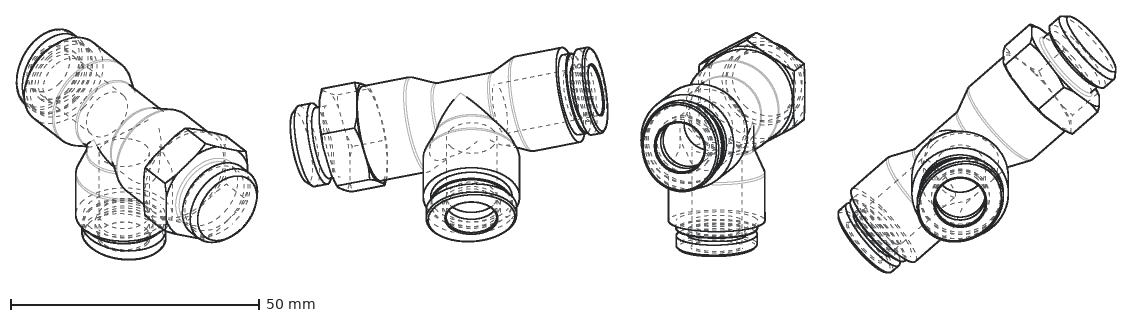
import cadquery as cq
import math

left_turn = -90
branch_turn = 180
right_turn = 90
tube_turns = (left_turn, branch_turn)

neck_end = 6.0
shoulder_start = 11.05
body_face = 21.0
collar_face = 22.8
flange_back = 23.95
flange_face = 26.4

housing_diameter = 19.5
neck_diameter = 15.0
shoulder_blend = 1.1
bore_diameter = 10.2
bore_floor = neck_end

collar_diameter = 16.5
collar_chamfer = 0.2

ring_neck_diameter = 11.7
flange_long_diameter = 18.4
flange_short_diameter = 16.15
flange_chamfer = 0.4
ring_mouth_chamfer = 0.25

hex_sides = 6
hex_across_flats = 20.0
hex_length = 7.9
hex_face_diameter = 20.85
hex_chamfer_length = 0.5
plug_length = 15.0
groove_diameter = 14.6
groove_blend = 0.5
thread_diameter = 16.65
thread_start = 10.4
thread_back_chamfer = 0.7
thread_end_chamfer = 1.2


def turn_into_place(arm_part, angle):
    """Turn a part from the +Z direction to its arm's direction."""
    return arm_part.rotate((0, 0, 0), (0, 1, 0), angle)


def cylinder(diameter, start, end):
    """A cylinder on the Z axis between two heights."""
    return cq.Workplane("XY").workplane(offset=start).circle(diameter / 2).extrude(end - start)


def make_arm():
    """One solid arm: slim neck, conical shoulder and wide socket, with blended shoulder edges."""
    profile = [
        (0, 0),
        (neck_diameter / 2, 0),
        (neck_diameter / 2, neck_end),
        (housing_diameter / 2, shoulder_start),
        (housing_diameter / 2, body_face),
        (0, body_face),
    ]
    arm = cq.Workplane("XZ").polyline(profile).close().revolve(360, (0, 0), (0, 1))
    shoulder_edges = cq.selectors.BoxSelector(
        (-housing_diameter, -housing_diameter, neck_end / 2),
        (housing_diameter, housing_diameter, (shoulder_start + body_face) / 2),
    )
    return arm.edges("%CIRCLE").edges(shoulder_edges).fillet(shoulder_blend)


def make_housing():
    """The tee: three equal arms, two of them bored for a tube."""
    housing = turn_into_place(make_arm(), right_turn)
    for angle in tube_turns:
        housing = housing.union(turn_into_place(make_arm(), angle))
    for angle in tube_turns:
        bore = cylinder(bore_diameter, bore_floor, body_face)
        housing = housing.cut(turn_into_place(bore, angle))
    return housing


def make_collar():
    """The plain collar on the end face of a tube socket."""
    collar = cylinder(collar_diameter, body_face, collar_face).faces(">Z").chamfer(collar_chamfer)
    return collar.cut(cylinder(bore_diameter, body_face, collar_face))


def make_release_ring():
    """The release ring: a round neck and an oval flange, bored for the tube."""
    flange = (
        cq.Workplane("XY")
        .workplane(offset=flange_back)
        .ellipse(flange_long_diameter / 2, flange_short_diameter / 2)
        .extrude(flange_face - flange_back)
        .faces(">Z")
        .chamfer(flange_chamfer)
    )
    ring = flange.union(cylinder(ring_neck_diameter, collar_face, flange_back))
    ring = ring.cut(cylinder(bore_diameter, collar_face, flange_face))
    return ring.faces(">Z").edges("%CIRCLE").chamfer(ring_mouth_chamfer)


def make_hexagon():
    """The hexagon, with its corners cut back by a cone at both ends."""
    corner_radius = hex_across_flats / 2 / math.cos(math.pi / hex_sides)
    hexagon = cq.Workplane("XY").polygon(hex_sides, 2 * corner_radius).extrude(hex_length)
    envelope = [
        (0, 0),
        (hex_face_diameter / 2, 0),
        (corner_radius, hex_chamfer_length),
        (corner_radius, hex_length - hex_chamfer_length),
        (hex_face_diameter / 2, hex_length),
        (0, hex_length),
    ]
    return hexagon.intersect(
        cq.Workplane("XZ").polyline(envelope).close().revolve(360, (0, 0), (0, 1))
    )


def make_plug():
    """The threaded plug: hexagon, undercut groove and chamfered thread."""
    groove_radius = groove_diameter / 2
    thread_radius = thread_diameter / 2
    stem = (
        cq.Workplane("XZ")
        .moveTo(0, hex_length)
        .lineTo(groove_radius + groove_blend, hex_length)
        .radiusArc((groove_radius, hex_length + groove_blend), groove_blend)
        .lineTo(groove_radius, thread_start)
        .lineTo(thread_radius, thread_start + thread_back_chamfer)
        .lineTo(thread_radius, plug_length - thread_end_chamfer)
        .lineTo(groove_radius, plug_length)
        .lineTo(0, plug_length)
        .close()
        .revolve(360, (0, 0), (0, 1))
    )
    plug = make_hexagon().union(stem).translate((0, 0, body_face))
    return turn_into_place(plug, right_turn)


housing = make_housing()
plug = make_plug()
collars = [turn_into_place(make_collar(), angle) for angle in tube_turns]
release_rings = [turn_into_place(make_release_ring(), angle) for angle in tube_turns]

result = cq.Compound.makeCompound(
    [
        housing.val(),
        plug.val(),
        *[collar.val() for collar in collars],
        *[ring.val() for ring in release_rings],
    ]
)